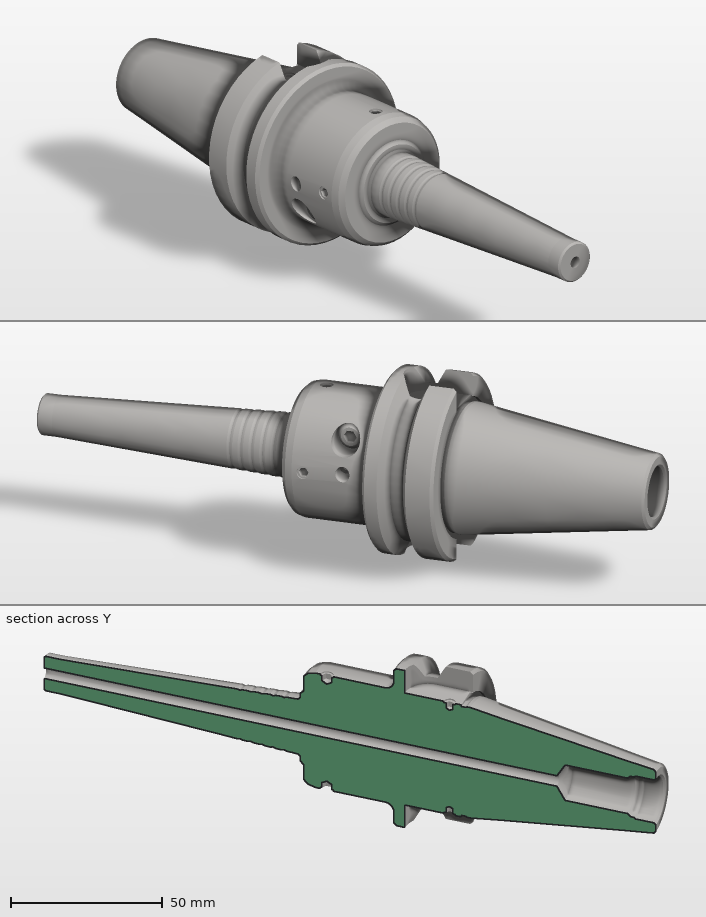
import cadquery as cq
import math


GAUGE_RADIUS = 44.45 / 2
TAPER_LENGTH = 65.4
TAPER_RATIO = 7 / 24
TAPER_END_RADIUS = GAUGE_RADIUS - TAPER_LENGTH * TAPER_RATIO / 2
TAPER_END_CHAMFER = 0.8

RELIEF_START = 1.1
RELIEF_LENGTH = 0.6
RELIEF_DEPTH = 0.3
RELIEF_RADIUS = GAUGE_RADIUS - RELIEF_DEPTH

FLANGE_RADIUS = 63 / 2
FLANGE_START = 2.0
FLANGE_END = 27.0
FLANGE_CHAMFER = 1.0
FACE_RECESS_RADIUS = 23.8
FACE_RECESS_DEPTH = 1.0
GROOVE_CENTER = 16.6
GROOVE_FLOOR_RADIUS = 53 / 2
GROOVE_FLOOR_HALF_WIDTH = 2.1
GROOVE_HALF_ANGLE = math.radians(30)
GROOVE_TOP_HALF_WIDTH = (
    GROOVE_FLOOR_HALF_WIDTH
    + (FLANGE_RADIUS - GROOVE_FLOOR_RADIUS) * math.tan(GROOVE_HALF_ANGLE)
)

BODY_RADIUS = 46 / 2
BODY_END = 58.7
BODY_FILLET = 3.0
NOSE_TAPER_LENGTH = 2.6
NOSE_TAPER_DROP = 0.7
NOSE_CHAMFER = 1.6
NOSE_EDGE_RADIUS = BODY_RADIUS - NOSE_TAPER_DROP - NOSE_CHAMFER
COLLAR_RADIUS = 14.8
COLLAR_END_RADIUS = 13.6
COLLAR_LENGTH = 1.2

TOTAL_LENGTH = 215.4
TIP_END = TOTAL_LENGTH - TAPER_LENGTH
TIP_RADIUS = 14 / 2
TIP_LENGTH = 5.5
TIP_CHAMFER = 0.6
ARBOR_START = BODY_END + COLLAR_LENGTH
ARBOR_START_RADIUS = 11.15
ARBOR_ROOT_CHAMFER = 0.7
TIP_START = TIP_END - TIP_LENGTH
ARBOR_SLOPE = (ARBOR_START_RADIUS - TIP_RADIUS) / (TIP_START - ARBOR_START)

RING_COUNT = 5
RING_FIRST = 64.5
RING_PITCH = 3.9
RING_WIDTH = 2.0
RING_DEPTH = 0.3

BORE_RADIUS = 17 / 2
BORE_CHAMFER = 0.7
BORE_DEPTH = 7.2
STEP_BORE_RADIUS = 16 / 2
STEP_BORE_DEPTH = 9.0
THREAD_RADIUS = 14 / 2
THREAD_DEPTH = 32.0
DRILL_HALF_ANGLE = math.radians(60)
THROUGH_RADIUS = 4 / 2

SLOT_WIDTH = 16.1
SLOT_FLOOR = 22.5
SLOT_END = 23.0

SET_SCREW_RECESS = 0.5
SET_SCREW_HEX_DEPTH = 2.0
BODY_SCREW_X = 50.5
BODY_SCREW_DIAMETER = 4.5
BODY_SCREW_HEX = 3.46
SLOT_SCREW_X = 7.3
SLOT_SCREW_DIAMETER = 4.0
SLOT_SCREW_HEX = 2.31

CLAMP_X = 36.7
CLAMP_OFFSET = 11.8
CLAMP_HOLE_DIAMETER = 10.0
CLAMP_HEAD_DIAMETER = 9.0
CLAMP_SEAT_Y = 13.0
CLAMP_HEAD_HEIGHT = 2.5
CLAMP_HEAD_TOP_DIAMETER = 6.4
CLAMP_HEAD_BEVEL = (CLAMP_HEAD_DIAMETER - CLAMP_HEAD_TOP_DIAMETER) / 2
CLAMP_HEX = 4.62
CLAMP_HEX_DEPTH = 2.0

LOCK_DIAMETER = 5.0
LOCK_OFFSET = 1.0
LOCK_DEPTH = 4.0
LOCK_TILT = 18.0
LOCK_HEX = 2.31
LOCK_HEX_DEPTH = 2.0


def arbor_radius(x):
    return ARBOR_START_RADIUS - ARBOR_SLOPE * (x - ARBOR_START)


def turned_blank():
    """Solid of revolution with the whole outer outline."""
    fillet_middle = BODY_FILLET * (1 - math.sqrt(0.5))
    outline = (
        cq.Workplane("XY")
        .moveTo(-TAPER_LENGTH, 0)
        .lineTo(-TAPER_LENGTH, TAPER_END_RADIUS - TAPER_END_CHAMFER)
        .lineTo(-TAPER_LENGTH + TAPER_END_CHAMFER,
                TAPER_END_RADIUS + TAPER_END_CHAMFER * TAPER_RATIO / 2)
        .lineTo(0, GAUGE_RADIUS)
        .lineTo(RELIEF_START, GAUGE_RADIUS)
        .lineTo(RELIEF_START + RELIEF_LENGTH, RELIEF_RADIUS)
        .lineTo(FLANGE_START + FACE_RECESS_DEPTH, RELIEF_RADIUS)
        .lineTo(FLANGE_START + FACE_RECESS_DEPTH, FACE_RECESS_RADIUS)
        .lineTo(FLANGE_START, FACE_RECESS_RADIUS)
        .lineTo(FLANGE_START, FLANGE_RADIUS - FLANGE_CHAMFER)
        .lineTo(FLANGE_START + FLANGE_CHAMFER, FLANGE_RADIUS)
        .lineTo(GROOVE_CENTER - GROOVE_TOP_HALF_WIDTH, FLANGE_RADIUS)
        .lineTo(GROOVE_CENTER - GROOVE_FLOOR_HALF_WIDTH, GROOVE_FLOOR_RADIUS)
        .lineTo(GROOVE_CENTER + GROOVE_FLOOR_HALF_WIDTH, GROOVE_FLOOR_RADIUS)
        .lineTo(GROOVE_CENTER + GROOVE_TOP_HALF_WIDTH, FLANGE_RADIUS)
        .lineTo(FLANGE_END - FLANGE_CHAMFER, FLANGE_RADIUS)
        .lineTo(FLANGE_END, FLANGE_RADIUS - FLANGE_CHAMFER)
        .lineTo(FLANGE_END, BODY_RADIUS + BODY_FILLET)
        .threePointArc((FLANGE_END + fillet_middle, BODY_RADIUS + fillet_middle),
                       (FLANGE_END + BODY_FILLET, BODY_RADIUS))
        .lineTo(BODY_END - NOSE_CHAMFER - NOSE_TAPER_LENGTH, BODY_RADIUS)
        .lineTo(BODY_END - NOSE_CHAMFER, BODY_RADIUS - NOSE_TAPER_DROP)
        .lineTo(BODY_END, NOSE_EDGE_RADIUS)
        .lineTo(BODY_END, COLLAR_RADIUS)
        .lineTo(ARBOR_START, COLLAR_END_RADIUS)
        .lineTo(ARBOR_START, ARBOR_START_RADIUS + ARBOR_ROOT_CHAMFER)
        .lineTo(ARBOR_START + ARBOR_ROOT_CHAMFER, arbor_radius(ARBOR_START + ARBOR_ROOT_CHAMFER))
        .lineTo(TIP_START, TIP_RADIUS)
        .lineTo(TIP_END - TIP_CHAMFER, TIP_RADIUS)
        .lineTo(TIP_END, TIP_RADIUS - TIP_CHAMFER)
        .lineTo(TIP_END, 0)
        .close()
    )
    return outline.revolve(360, (0, 0, 0), (1, 0, 0))


def ring_groove(start):
    """Shallow V-groove around the arbor taper."""
    middle = start + RING_WIDTH / 2
    end = start + RING_WIDTH
    clear = ARBOR_START_RADIUS + RING_DEPTH
    return (
        cq.Workplane("XY")
        .moveTo(start, clear)
        .lineTo(start, arbor_radius(start))
        .lineTo(middle, arbor_radius(middle) - RING_DEPTH)
        .lineTo(end, arbor_radius(end))
        .lineTo(end, clear)
        .close()
        .revolve(360, (0, 0, 0), (1, 0, 0))
    )


def axial_bore():
    """Counterbore stepping down at 45 degrees to the thread bore, drill point and through hole."""
    thread_end = -TAPER_LENGTH + THREAD_DEPTH
    point_length = (THREAD_RADIUS - THROUGH_RADIUS) / math.tan(DRILL_HALF_ANGLE)
    return (
        cq.Workplane("XY")
        .moveTo(-TAPER_LENGTH, 0)
        .lineTo(-TAPER_LENGTH, BORE_RADIUS + BORE_CHAMFER)
        .lineTo(-TAPER_LENGTH + BORE_CHAMFER, BORE_RADIUS)
        .lineTo(-TAPER_LENGTH + BORE_DEPTH, BORE_RADIUS)
        .lineTo(-TAPER_LENGTH + BORE_DEPTH + BORE_RADIUS - STEP_BORE_RADIUS, STEP_BORE_RADIUS)
        .lineTo(-TAPER_LENGTH + STEP_BORE_DEPTH, STEP_BORE_RADIUS)
        .lineTo(-TAPER_LENGTH + STEP_BORE_DEPTH + STEP_BORE_RADIUS - THREAD_RADIUS, THREAD_RADIUS)
        .lineTo(thread_end, THREAD_RADIUS)
        .lineTo(thread_end + point_length, THROUGH_RADIUS)
        .lineTo(TIP_END, THROUGH_RADIUS)
        .lineTo(TIP_END, 0)
        .close()
        .revolve(360, (0, 0, 0), (1, 0, 0))
    )


def drive_slot():
    """Slot in the +Z side of the flange, open to the taper, with a round end."""
    end_radius = SLOT_WIDTH / 2
    straight_end = SLOT_END - end_radius
    height = FLANGE_RADIUS - SLOT_FLOOR
    return (
        cq.Workplane("XY", origin=(0, 0, SLOT_FLOOR))
        .moveTo(0, -end_radius)
        .lineTo(straight_end, -end_radius)
        .threePointArc((SLOT_END, 0), (straight_end, end_radius))
        .lineTo(0, end_radius)
        .close()
        .extrude(height)
    )


def socket(plane, across_corners, depth):
    """Hexagon socket with a conical bottom, sunk below the given plane."""
    corner_radius = across_corners / 2
    cone_length = corner_radius / math.tan(DRILL_HALF_ANGLE)
    full_depth = depth + cone_length
    hexagon = plane.polygon(6, across_corners).extrude(-full_depth)
    shaft = plane.circle(corner_radius).extrude(-depth)
    floor = plane.workplane(offset=-depth).plane
    point = cq.Workplane(cq.Solid.makeCone(corner_radius, 0, cone_length, floor.origin, -floor.zDir))
    return hexagon.intersect(shaft.union(point))


def set_screw_recess(x, surface, diameter, hex_size):
    """Recess over a set screw in the +Z side, with its hexagon socket."""
    plane = cq.Workplane("XY", origin=(x, 0, surface - SET_SCREW_RECESS))
    recess = plane.circle(diameter / 2).extrude(2 * SET_SCREW_RECESS)
    return recess.union(socket(plane, hex_size, SET_SCREW_HEX_DEPTH))


def clamp_recess():
    """Screw hole in the -Y side, leaving the screw head with its hexagon socket."""
    plane = cq.Workplane("XZ", origin=(CLAMP_X, -CLAMP_SEAT_Y, -CLAMP_OFFSET))
    hole = plane.circle(CLAMP_HOLE_DIAMETER / 2).extrude(BODY_RADIUS)
    head = plane.circle(CLAMP_HEAD_DIAMETER / 2).extrude(CLAMP_HEAD_HEIGHT)
    head = head.faces("<Y").chamfer(CLAMP_HEAD_BEVEL)
    head_top = plane.workplane(offset=CLAMP_HEAD_HEIGHT)
    return hole.cut(head).union(socket(head_top, CLAMP_HEX, CLAMP_HEX_DEPTH))


def lock_screw_recess():
    """Tilted recess over a lock screw in the -Y side, with its hexagon socket."""
    plane = cq.Workplane("XZ", origin=(CLAMP_X, -(BODY_RADIUS - LOCK_DEPTH), -LOCK_OFFSET))
    recess = plane.circle(LOCK_DIAMETER / 2).extrude(2 * LOCK_DEPTH)
    upright = recess.union(socket(plane, LOCK_HEX, LOCK_HEX_DEPTH))
    mouth = (0, -BODY_RADIUS, -LOCK_OFFSET)
    return upright.rotate(mouth, (1, -BODY_RADIUS, -LOCK_OFFSET), -LOCK_TILT)


def turned_about_axis(shape, angle):
    return shape.rotate((0, 0, 0), (1, 0, 0), angle)


def opposed_recesses():
    """Recesses that repeat half a turn apart."""
    slot_screw = set_screw_recess(SLOT_SCREW_X, SLOT_FLOOR, SLOT_SCREW_DIAMETER, SLOT_SCREW_HEX)
    return [drive_slot(), slot_screw, clamp_recess(), lock_screw_recess()]


result = turned_blank().cut(axial_bore())

for ring in range(RING_COUNT):
    result = result.cut(ring_groove(RING_FIRST + ring * RING_PITCH))

for angle in (0, 180):
    for recess in opposed_recesses():
        result = result.cut(turned_about_axis(recess, angle))

body_screw = set_screw_recess(BODY_SCREW_X, BODY_RADIUS, BODY_SCREW_DIAMETER, BODY_SCREW_HEX)
for angle in (0, 90, 180, 270):
    result = result.cut(turned_about_axis(body_screw, angle))